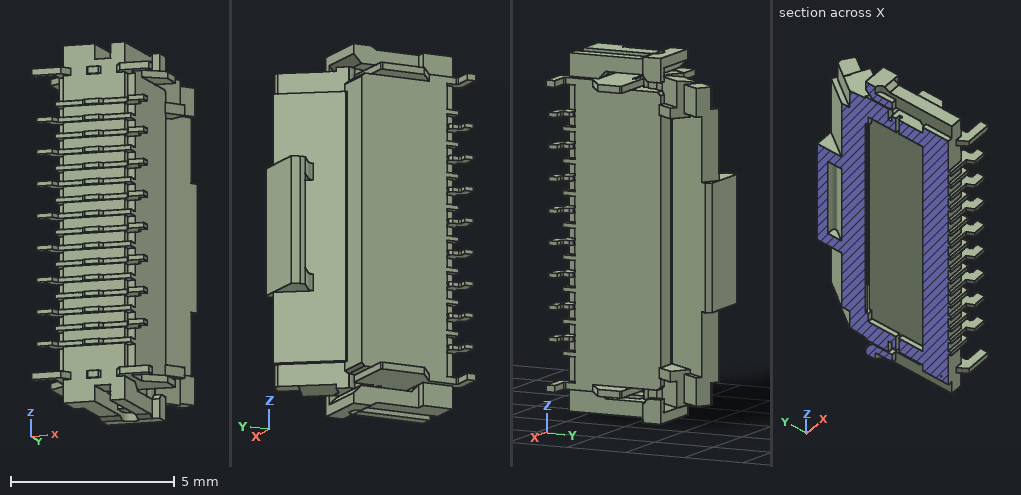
import cadquery as cq
import math


overall_width = 3.8
overall_depth = 5.5

body_half_width = 1.23
body_half_length = 4.64
body_rear = 0.32
body_front = 3.25
body_chamfer = 0.1
block_half_width = 0.99
block_half_length = 5.59

cavity_left = 0.02
cavity_right = 0.54
cavity_floor = 1.01
end_wall_inner = 4.26
window_bottom = 1.95
window_top = 2.05

arm_left = -0.67
arm_root = 1.01
arm_inner = 5.1
arm_root_chamfer = 0.24
bar_rear = 2.65
bar_half_length = 5.7
bar_slope = 0.2
bar_inner_chamfer = 0.27
gusset_depth = 0.16
slot_floor = arm_inner
slot_shallow_floor = 5.43
slot_step = 2.2
slot_front = 2.86
slot_corner_radius = 0.18

tab_thickness = 0.22
tab_outer = body_half_length + tab_thickness
tab_half_span = overall_width / 2
tab_left_top = 2.92
tab_right_top = 2.23
tab_shoulder = 1.44
tab_neck = 0.93
tab_corner_chamfer = 0.05
foot_bottom = -0.34
foot_top = -0.03
foot_heel = 0.96
foot_toe = 0.74
tab_bump_depth = 0.1
tab_bump_base = 0.23
tab_bump_tip = 0.17

contact_count = 16
contact_row_length = 7.5
contact_pitch = contact_row_length / (contact_count - 1)
contact_thickness = 0.15
contact_half_span = 1.73
contact_rear = -0.097
contact_slope = 0.11
contact_bump_rear = -0.19
contact_bump_base = 0.33
contact_bump_tip = 0.23
post_half_span = 1.45
post_chamfer = 0.09
post_cove = 0.06

lever_root_x = -0.31
lever_tilt = math.radians(35.2)
lever_length = 2.33
plate_half_length = end_wall_inner
plate_depth = 0.6
root_flat = 0.05
shoulder_half_length = 4.96
shoulder_inner = 4.06
shoulder_chamfer = 0.11
shoulder_near = 0.18
shoulder_far = 0.8
ear_clearance = 0.01
ear_half_length = arm_inner - ear_clearance
ear_slope_end = 0.97
ear_far = 1.06
ear_start = 0.4
ear_end = 1.57
cheek_inner = 3.93
cheek_far = 1.29
axle_x = 0.36
axle_width = 0.75
axle_bottom = 2.47
axle_radius = 0.27
pad_width = 0.46
pad_bottom = 2.36
heel_width = 1.07
heel_bottom = 2.84
heel_radius = 0.28

grip_half_length = 2.02
grip_top = overall_depth + foot_bottom
grip_left = -0.31
grip_top_left = -0.2
grip_top_right = 1.52
grip_tip_along = 2.55
grip_left_top = 4.9
grip_left_bottom = 4.73
grip_curve_start = (0.18, 4.38)
grip_curve_middle = (0.27, 4.28)
grip_curve_end = (0.31, 4.14)
finger_half_length = 1.49
finger_radius = 0.1


def box(x0, x1, y0, y1, z0, z1):
    """Box between two limits on each axis."""
    return cq.Workplane("XY").box(x1 - x0, y1 - y0, z1 - z0, centered=False).translate((x0, y0, z0))


def slab(points, z0, z1):
    """Polygon in the XY plane, raised from z0 to z1."""
    return cq.Workplane("XY").workplane(offset=z0).polyline(points).close().extrude(z1 - z0)


def both_ends(shape):
    """A shape together with its mirror image about Z = 0."""
    return shape.union(shape.mirror("XY"))


def lever_point(along, depth):
    """XY place of a point given in the lever's own directions."""
    x = lever_root_x + along * math.sin(lever_tilt) + depth * math.cos(lever_tilt)
    y = body_front + along * math.cos(lever_tilt) - depth * math.sin(lever_tilt)
    return (x, y)


def lever_block(along0, along1, depth0, depth1, z0, z1):
    """Box aligned with the lever."""
    corners = [(along0, depth0), (along1, depth0), (along1, depth1), (along0, depth1)]
    return slab([lever_point(along, depth) for along, depth in corners], z0, z1)


def lever_plane(along):
    """Plane across the lever, with local X as depth and local Y as the part's Z."""
    x, y = lever_point(along, 0)
    depth_direction = (math.cos(lever_tilt), -math.sin(lever_tilt), 0)
    down_lever = (-math.sin(lever_tilt), -math.cos(lever_tilt), 0)
    return cq.Plane(origin=(x, y, 0), xDir=depth_direction, normal=down_lever)


def make_housing():
    """Main shell with the narrower rear block and the cable cavity."""
    shell = box(
        -body_half_width, body_half_width, body_rear, body_front, -body_half_length, body_half_length
    )
    shell = shell.faces(">Y").edges("|X").chamfer(body_chamfer)
    block = box(
        -block_half_width, block_half_width, 0, arm_root, -block_half_length, block_half_length
    )
    cavity = box(
        cavity_left, cavity_right, cavity_floor, body_front, -end_wall_inner, end_wall_inner
    )
    return shell.union(block).cut(cavity)


def make_end_arm():
    """Slotted arm that reaches forward from the block and ends in a cross bar."""
    side = [
        (arm_root / 2, block_half_length),
        (bar_rear - bar_slope, block_half_length),
        (bar_rear, bar_half_length),
        (body_front, bar_half_length),
        (body_front, arm_inner + bar_inner_chamfer),
        (body_front - bar_inner_chamfer, arm_inner),
        (arm_root + arm_root_chamfer, arm_inner),
        (arm_root, arm_inner - arm_root_chamfer),
        (arm_root / 2, arm_inner - arm_root_chamfer),
    ]
    profile = cq.Workplane("YZ").workplane(offset=arm_left).polyline(side).close()
    arm = profile.extrude(body_half_width - arm_left)
    beside_bar = box(
        block_half_width, body_half_width, 0, bar_rear, body_half_length, bar_half_length
    )
    gusset_side = [
        (bar_rear, arm_inner),
        (bar_rear + gusset_depth, arm_inner - gusset_depth),
        (body_front, arm_inner - gusset_depth),
        (body_front, bar_half_length),
        (bar_rear, bar_half_length),
    ]
    gusset_profile = cq.Workplane("YZ").workplane(offset=block_half_width).polyline(gusset_side).close()
    gusset = gusset_profile.extrude(body_half_width - block_half_width)
    return arm.cut(beside_bar).union(gusset)


def make_end_slot():
    """Slot along an end arm: deep at the rear, shallow with round corners at the bar."""
    through_block = box(cavity_left, cavity_right, 0, arm_root, slot_floor, bar_half_length)
    through_arm = box(
        cavity_left, cavity_right, arm_root, slot_step, tab_outer, bar_half_length
    )
    shallow = box(cavity_left, cavity_right, 0, slot_front, slot_shallow_floor, bar_half_length)
    shallow = shallow.edges("|Z and >Y").fillet(slot_corner_radius)
    return through_block.union(through_arm).union(shallow)


def make_tab_plate():
    """Solder tab plate on one end wall, with a wing and a foot on each side."""
    right = [
        (0, tab_right_top),
        (tab_half_span - tab_corner_chamfer, tab_right_top),
        (tab_half_span, tab_right_top - tab_corner_chamfer),
        (tab_half_span, tab_shoulder),
        (body_half_width, tab_neck),
        (body_half_width, foot_top + tab_corner_chamfer),
        (body_half_width + tab_corner_chamfer, foot_top),
        (tab_half_span, foot_top),
        (tab_half_span, foot_bottom),
        (foot_heel, foot_bottom),
        (foot_toe, 0),
        (tab_bump_base, 0),
        (tab_bump_tip, -tab_bump_depth),
    ]
    left = [(-x, y) for x, y in reversed(right[3:])]
    left += [
        (-tab_half_span, tab_left_top - tab_corner_chamfer),
        (-tab_half_span + tab_corner_chamfer, tab_left_top),
        (0, tab_left_top),
    ]
    return slab(right + left, body_half_length, tab_outer)


def make_contact(side, z):
    """Signal contact centred at z, with its solder foot on the given X side."""
    outline = [
        (contact_half_span, foot_top),
        (contact_half_span, foot_bottom),
        (body_half_width, foot_bottom),
        (body_half_width - contact_slope, contact_rear),
        (contact_bump_base, contact_rear),
        (contact_bump_tip, contact_bump_rear),
        (-contact_bump_tip, contact_bump_rear),
        (-contact_bump_base, contact_rear),
        (-body_half_width, contact_rear),
        (-body_half_width, body_rear),
        (post_half_span - post_chamfer, body_rear),
        (post_half_span, body_rear - post_chamfer),
        (post_half_span, foot_top + post_cove),
        (post_half_span + post_cove, foot_top),
    ]
    points = [(side * x, y) for x, y in outline]
    return slab(points, z - contact_thickness / 2, z + contact_thickness / 2)


def make_grip():
    """Finger grip at the top of the lever, hollowed underneath."""
    grip = (
        cq.Workplane("XY")
        .workplane(offset=-grip_half_length)
        .moveTo(*grip_curve_end)
        .threePointArc(grip_curve_middle, grip_curve_start)
        .lineTo(grip_left, grip_left_bottom)
        .lineTo(grip_left, grip_left_top)
        .lineTo(grip_top_left, grip_top)
        .lineTo(grip_top_right, grip_top)
        .lineTo(*lever_point(grip_tip_along, plate_depth))
        .lineTo(*lever_point(lever_length / 2, plate_depth))
        .lineTo(*lever_point(lever_length / 2, 0))
        .close()
        .extrude(2 * grip_half_length)
    )
    hinge_along = (grip_left_bottom - body_front) / math.cos(lever_tilt)
    hollow_outline = [
        (grip_left, grip_left_bottom),
        lever_point(hinge_along, 0),
        lever_point(0, 0),
    ]
    hollow = slab(hollow_outline, -finger_half_length, finger_half_length)
    hollow = hollow.edges("|Z and >X").fillet(finger_radius)
    return grip.cut(hollow)


def make_axle_step(width, bottom, radius):
    """Block below the lever end, with its two lower edges rounded."""
    step = box(
        axle_x - width / 2, axle_x + width / 2, bottom, body_front - body_chamfer,
        end_wall_inner, ear_half_length,
    )
    return step.edges("|Z and <Y").fillet(radius)


def make_lever_end():
    """Shoulder, ear, cheek and axle at one end of the lever."""
    shoulder_outline = [
        (0, shoulder_near),
        (lever_length - shoulder_chamfer, shoulder_near),
        (lever_length, shoulder_near + shoulder_chamfer),
        (lever_length, shoulder_far),
        (0, shoulder_far),
    ]
    shoulder_points = [lever_point(along, depth) for along, depth in shoulder_outline]
    shoulder = slab(shoulder_points, shoulder_inner, shoulder_half_length)
    root = lever_block(0, ear_start, shoulder_near, ear_far, end_wall_inner, ear_half_length)
    ear_section = [
        (shoulder_near, end_wall_inner),
        (shoulder_near, shoulder_half_length),
        (ear_slope_end, ear_half_length),
        (ear_far, ear_half_length),
        (ear_far, end_wall_inner),
    ]
    ear = cq.Workplane(lever_plane(ear_end)).polyline(ear_section).close().extrude(ear_end - ear_start)
    cheek = lever_block(0, ear_end, shoulder_near, cheek_far, cheek_inner, plate_half_length)
    above_housing = box(
        -body_half_width, tab_half_span, body_front - body_chamfer, grip_top, 0, bar_half_length
    )
    axle = make_axle_step(axle_width, axle_bottom, axle_radius)
    heel = make_axle_step(heel_width, heel_bottom, heel_radius)
    pad = box(
        axle_x - pad_width / 2, axle_x + pad_width / 2, pad_bottom, axle_bottom + axle_radius,
        end_wall_inner, ear_half_length,
    )
    upper = shoulder.union(root).union(ear).union(cheek).intersect(above_housing)
    return upper.union(heel).union(axle).union(pad)


def make_lever():
    """Tilted lever plate with its grip and both ends."""
    plate = lever_block(
        0, lever_length, 0, plate_depth, -plate_half_length, plate_half_length
    )
    over_housing = box(
        lever_root_x + root_flat, tab_half_span, body_front, grip_top, -plate_half_length, plate_half_length
    )
    plate = plate.intersect(over_housing)
    return plate.union(make_grip()).union(both_ends(make_lever_end()))


result = make_housing()
result = result.union(both_ends(make_end_arm()))
result = result.union(both_ends(make_tab_plate()))
result = result.cut(both_ends(make_end_slot()))
result = result.cut(
    box(cavity_left, cavity_right, window_bottom, window_top, -tab_outer, tab_outer)
)
result = result.union(make_lever())

for index in range(contact_count):
    contact_z = index * contact_pitch - contact_row_length / 2
    foot_side = 1 if index % 2 else -1
    result = result.union(make_contact(foot_side, contact_z))